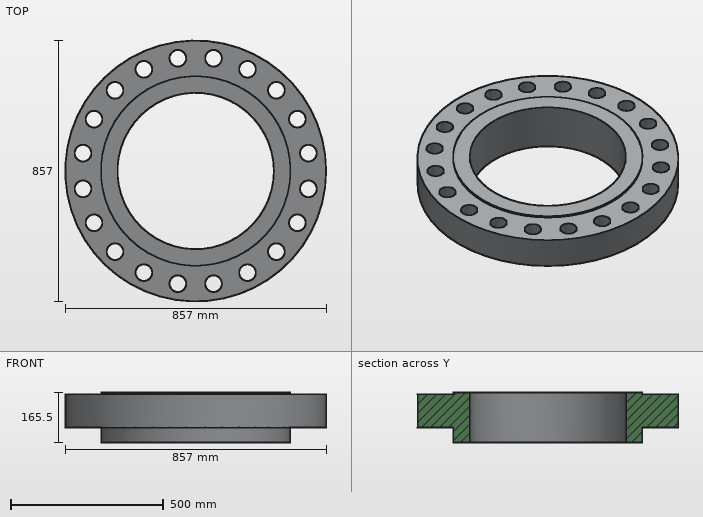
import cadquery as cq

flange_diameter = 857.0
total_height = 165.5

hub_diameter = 622.0
hub_height = 50.0
raised_face_height = 6.0
flange_thickness = total_height - hub_height - raised_face_height

bore_diameter = 513.0
bolt_count = 20
bolt_hole_diameter = 54.0
bolt_circle_diameter = 749.0
bolt_pitch_angle = 360 / bolt_count

hub = cq.Workplane("XY").circle(hub_diameter / 2).extrude(hub_height)
flange = hub.faces(">Z").workplane().circle(flange_diameter / 2).extrude(flange_thickness)
body = flange.faces(">Z").workplane().circle(hub_diameter / 2).extrude(raised_face_height)

bore = cq.Workplane("XY").circle(bore_diameter / 2).extrude(total_height)

bolt_holes = (
    cq.Workplane("XY")
    .polarArray(bolt_circle_diameter / 2, bolt_pitch_angle / 2, 360, bolt_count)
    .circle(bolt_hole_diameter / 2)
    .extrude(total_height)
)

result = body.cut(bore).cut(bolt_holes)